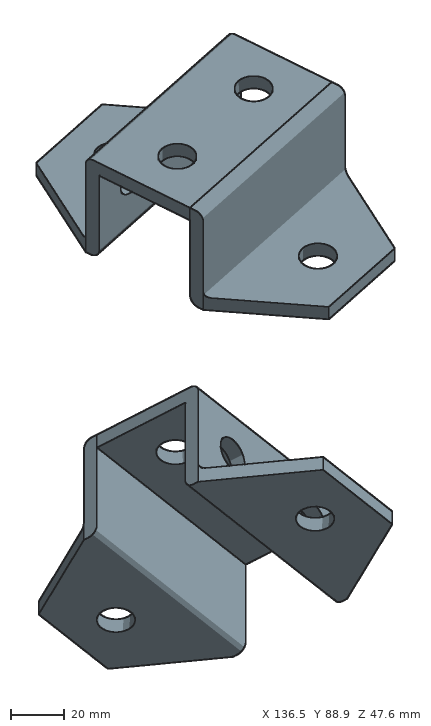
import cadquery as cq

length = 136.5
width = 88.9
height = 47.6
thickness = 6.3

channel_width = 54.9
top_bend_radius = 3.7
foot_bend_radius = 4.1
flange_fillet = 2.6

tip_width = 41.4

hole_diameter = 14.3
hole_spacing = 47.8
flange_hole_spacing = 95.6
wall_hole_height = 26.2

wall_outer = channel_width / 2
wall_inner = wall_outer - thickness


def block(x_start, x_end, z_start, z_end):
    """Full-width block between two X positions and two Z levels."""
    return cq.Workplane("XY").box(
        x_end - x_start, width, z_end - z_start, centered=(False, True, False)
    ).translate((x_start, 0, z_start))


def round_edge(body, x, z, radius):
    """Round the edge that runs along Y at the given X and Z."""
    return body.edges(cq.selectors.NearestToPointSelector((x, 0, z))).fillet(radius)


def taper_outline():
    """Plan outline: full width over the channel, narrowing to each flange tip."""
    half_length = length / 2
    half_width = width / 2
    half_tip = tip_width / 2
    return (
        cq.Workplane("XY")
        .polyline([
            (-half_length, -half_tip),
            (-wall_outer, -half_width),
            (wall_outer, -half_width),
            (half_length, -half_tip),
            (half_length, half_tip),
            (wall_outer, half_width),
            (-wall_outer, half_width),
            (-half_length, half_tip),
        ])
        .close()
        .extrude(height)
    )


def vertical_holes():
    """Cutters for the two flange holes and the two holes in the top."""
    flange_x = flange_hole_spacing / 2
    top_y = hole_spacing / 2
    return (
        cq.Workplane("XY")
        .pushPoints([(-flange_x, 0), (flange_x, 0), (0, -top_y), (0, top_y)])
        .circle(hole_diameter / 2)
        .extrude(height)
    )


def wall_holes():
    """Cutters for the pair of holes through the left wall only."""
    wall_y = hole_spacing / 2
    return (
        cq.Workplane("YZ", origin=(-wall_outer, 0, 0))
        .pushPoints([(-wall_y, wall_hole_height), (wall_y, wall_hole_height)])
        .circle(hole_diameter / 2)
        .extrude(thickness)
    )


def wall_with_flange(side):
    """Rounded wall and its plain flange; side is -1 for left, +1 for right."""
    angle = block(wall_inner, wall_outer, 0, height).union(
        block(wall_outer, length / 2, 0, thickness)
    )
    angle = round_edge(angle, wall_outer, height, top_bend_radius)
    angle = round_edge(angle, wall_inner, 0, foot_bend_radius)
    angle = round_edge(angle, wall_outer, thickness, flange_fillet)
    return angle if side > 0 else angle.mirror("YZ")


def make_channel_plate():
    """Left flange, left wall and top in one bent plate."""
    top = block(-wall_inner, wall_inner, height - thickness, height)
    plate = wall_with_flange(-1).union(top)
    return plate.intersect(taper_outline()).cut(vertical_holes()).cut(wall_holes())


def make_angle_plate():
    """Right wall and flange, butted against the end of the channel plate's top."""
    return wall_with_flange(1).intersect(taper_outline()).cut(vertical_holes())


channel_plate = make_channel_plate()
angle_plate = make_angle_plate()

result = cq.Compound.makeCompound([channel_plate.solids().val(), angle_plate.solids().val()])